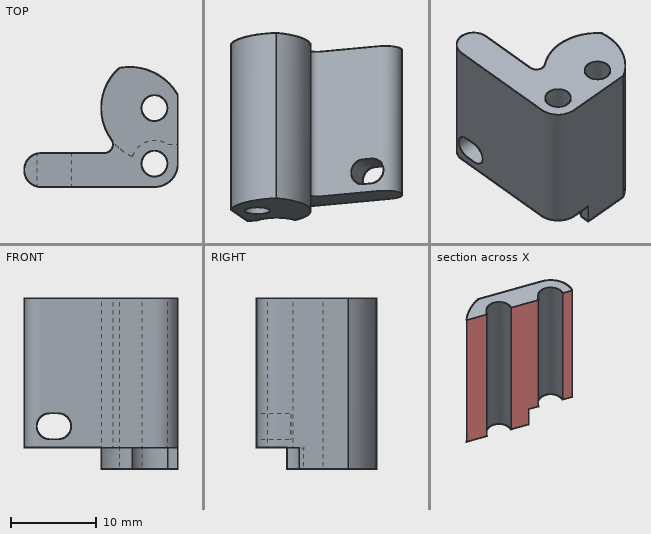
import cadquery as cq
import math

length = 18.01
width = 14.08
height = 20.0
arm_thickness = 4.0
foot_height = 2.5
arm_end_radius = arm_thickness / 2

pin_diameter = 3.0
pin_edge_distance = 2.75
pin_spacing = 6.5
pin_x = length - pin_edge_distance
lower_pin_y = pin_edge_distance
upper_pin_y = lower_pin_y + pin_spacing

flank_radius = 6.25
crest_radius = 6.5
crest_x = 12.35
crest_y = width - crest_radius

corner_radius = pin_edge_distance
inner_fillet = 1.0

relief_radius = pin_edge_distance
relief_wall_y = 5.0

slot_length = 4.0
slot_width = 3.0
slot_start_x = 1.5
slot_z = 5.0


def circle_meeting(x1, y1, radius1, x2, y2, radius2):
    """Meeting point of two circles on the left-hand side, looking from centre 1 to centre 2."""
    dx = x2 - x1
    dy = y2 - y1
    distance = math.hypot(dx, dy)
    along = (distance**2 + radius1**2 - radius2**2) / (2 * distance)
    aside = math.sqrt(radius1**2 - along**2)
    return (
        x1 + (along * dx - aside * dy) / distance,
        y1 + (along * dy + aside * dx) / distance,
    )


def between(start, end, center_x, center_y, radius):
    """Middle point of the shorter arc from start to end around a centre."""
    dx = (start[0] + end[0]) / 2 - center_x
    dy = (start[1] + end[1]) / 2 - center_y
    scale = radius / math.hypot(dx, dy)
    return (center_x + dx * scale, center_y + dy * scale)


crest_end = (length, crest_y + math.sqrt(crest_radius**2 - (length - crest_x) ** 2))
lobe_tip = circle_meeting(crest_x, crest_y, crest_radius, pin_x, upper_pin_y, flank_radius)
crest_middle = between(crest_end, lobe_tip, crest_x, crest_y, crest_radius)


def make_body():
    """Arm and lobe, from the top of the foot to the top of the part."""
    fillet_y = arm_thickness + inner_fillet
    center_gap = flank_radius + inner_fillet
    fillet_x = pin_x - math.sqrt(center_gap**2 - (upper_pin_y - fillet_y) ** 2)
    share = flank_radius / center_gap
    flank_end = (
        pin_x + (fillet_x - pin_x) * share,
        upper_pin_y + (fillet_y - upper_pin_y) * share,
    )
    fillet_end = (fillet_x, arm_thickness)
    corner_start = (pin_x, 0)
    corner_end = (length, lower_pin_y)

    return (
        cq.Workplane("XY", origin=(0, 0, foot_height))
        .moveTo(arm_end_radius, 0)
        .lineTo(*corner_start)
        .threePointArc(between(corner_start, corner_end, pin_x, lower_pin_y, corner_radius), corner_end)
        .lineTo(*crest_end)
        .threePointArc(crest_middle, lobe_tip)
        .threePointArc(between(lobe_tip, flank_end, pin_x, upper_pin_y, flank_radius), flank_end)
        .threePointArc(between(flank_end, fillet_end, fillet_x, fillet_y, inner_fillet), fillet_end)
        .lineTo(arm_end_radius, arm_thickness)
        .threePointArc((0, arm_end_radius), (arm_end_radius, 0))
        .close()
        .extrude(height - foot_height)
    )


def make_foot():
    """Lobe continued down to Z = 0, with the relief around the lower pin."""
    cusp = circle_meeting(pin_x, lower_pin_y, relief_radius, pin_x, upper_pin_y, flank_radius)
    relief_rise = relief_wall_y - lower_pin_y
    relief_end = (pin_x + math.sqrt(relief_radius**2 - relief_rise**2), relief_wall_y)

    return (
        cq.Workplane("XY")
        .moveTo(*relief_end)
        .lineTo(length, relief_wall_y)
        .lineTo(*crest_end)
        .threePointArc(crest_middle, lobe_tip)
        .threePointArc(between(lobe_tip, cusp, pin_x, upper_pin_y, flank_radius), cusp)
        .threePointArc(between(cusp, relief_end, pin_x, lower_pin_y, relief_radius), relief_end)
        .close()
        .extrude(foot_height)
    )


def make_pin_holes():
    """Both pin holes, over the full height."""
    centers = [(pin_x, lower_pin_y), (pin_x, upper_pin_y)]
    return cq.Workplane("XY").pushPoints(centers).circle(pin_diameter / 2).extrude(height)


def make_slot():
    """Slot with round ends, through the arm's thickness."""
    slot_x = slot_start_x + slot_length / 2
    return (
        cq.Workplane("XZ")
        .center(slot_x, slot_z)
        .slot2D(slot_length, slot_width)
        .extrude(-arm_thickness)
    )


result = make_body().union(make_foot()).cut(make_pin_holes()).cut(make_slot())